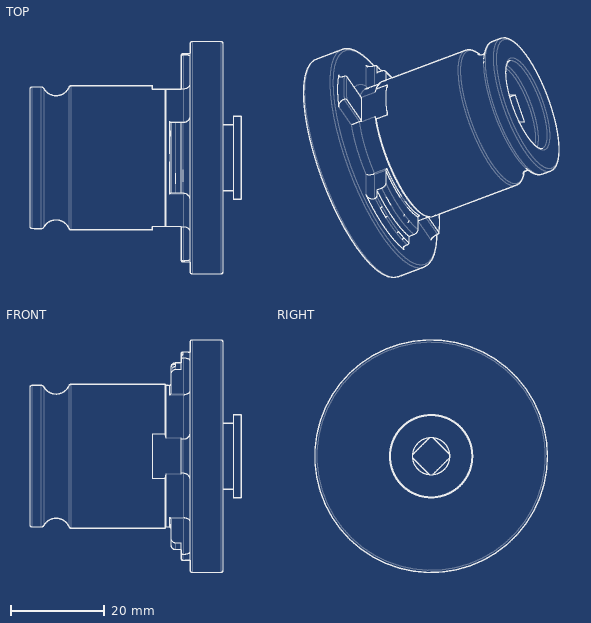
import cadquery as cq


overall_length = 45.5
body_end = 29.25
lug_face = 32.5
flange_front = 34.4
flange_back = 41.5
head_front = 43.7

lip_radius = 30.5 / 2
body_radius = 31 / 2
neck_radius = 30.5 / 2
flange_radius = 50 / 2
stem_radius = 14.2 / 2
head_radius = 17.9 / 2
flange_round = 0.5
head_chamfer = 0.2
lip_front_round = 0.5

groove_center = 5.65
groove_radius = 3.0
groove_floor_radius = 13.35
lip_rear_round = 0.65
body_front_round = 0.5

side_lug_width = 7.3
key_width = 15.2
lug_radius = 22.4
lug_edge_round = 0.4
key_front = 30.3
key_radius = 20.1
key_edge_round = 1.0
key_root_round = 0.3
root_round = 1.4
flat_distance = 14.75
flat_start = 26.3
flat_width = 9.5

recess_radius = 20.1 / 2
recess_depth = 3.0
recess_round = 0.45
square_side = 6.1
bore_radius = 8 / 2

tolerance = 0.01


def disc(start, end, radius):
    """Cylinder on the X axis between two stations."""
    return cq.Workplane("YZ").workplane(offset=start).circle(radius).extrude(end - start)


def bar(start, end, width, height):
    """Box centred on the X axis, width along Y and height along Z."""
    return cq.Workplane("YZ").workplane(offset=start).rect(width, height).extrude(end - start)


def ring(station, ring_radius, section_radius):
    """Torus around the X axis, centred on one station."""
    section = cq.Workplane("XY").center(station, ring_radius).circle(section_radius)
    return section.revolve(360, (0, -ring_radius, 0), (1, -ring_radius, 0))


def round_edges(part, stations, half_width, half_height, radius):
    """Round every edge that lies whole between two stations and within a half width and half height."""
    start, end = stations
    low_corner = (start - tolerance, -half_width - tolerance, -half_height - tolerance)
    high_corner = (end + tolerance, half_width + tolerance, half_height + tolerance)
    return part.edges(cq.selectors.BoxSelector(low_corner, high_corner, boundingbox=True)).fillet(radius)


def make_barrel():
    """Lip, grooved body and neck turned in one piece."""
    step = body_radius - neck_radius
    outline = (
        cq.Workplane("XY")
        .lineTo(0, lip_radius)
        .lineTo(groove_center, lip_radius)
        .lineTo(groove_center, body_radius)
        .lineTo(body_end - step, body_radius)
        .lineTo(body_end, neck_radius)
        .lineTo(flange_front, neck_radius)
        .lineTo(flange_front, 0)
        .close()
    )
    barrel = outline.revolve(360, (0, 0, 0), (1, 0, 0))
    barrel = barrel.cut(ring(groove_center, groove_floor_radius + groove_radius, groove_radius))

    groove_start = groove_center - groove_radius
    groove_end = groove_center + groove_radius
    barrel = round_edges(barrel, (0, 0), lip_radius, lip_radius, lip_front_round)
    barrel = round_edges(barrel, (groove_start, groove_center), lip_radius, lip_radius, lip_rear_round)
    return round_edges(barrel, (groove_center, groove_end), body_radius, body_radius, body_front_round)


def make_flange():
    """Flange with the stem and head behind it."""
    flange = disc(flange_front, flange_back, flange_radius).edges().fillet(flange_round)
    stem = disc(flange_back, head_front, stem_radius)
    head = disc(head_front, overall_length, head_radius).faces(">X").edges().chamfer(head_chamfer)
    return flange.union(stem).union(head)


def make_lug_steps():
    """Two low side lugs along Y, and two keys along Z that step up towards the neck."""
    low = disc(lug_face, flange_front, lug_radius).faces("<X").edges().fillet(lug_edge_round)
    high = disc(key_front, flange_front, key_radius).faces("<X").edges().fillet(key_edge_round)
    side_lugs = low.intersect(bar(lug_face, flange_front, 2 * lug_radius, side_lug_width))
    keys = low.union(high).intersect(bar(key_front, flange_front, key_width, 2 * lug_radius))
    return side_lugs.union(keys)


def make_root_rounds():
    """Concave rounds where the neck and the lug flanks meet the flange."""
    start = flange_front - root_round
    cove_radius = neck_radius + root_round
    rounds = disc(start, flange_front, cove_radius).cut(ring(start, cove_radius, root_round))
    for lug_width, turn in ((side_lug_width, 0), (key_width, 90)):
        outer_width = lug_width + 2 * root_round
        skirt = bar(start, flange_front, 2 * lug_radius, outer_width)
        for side in (-1, 1):
            scoop = (
                cq.Workplane("XZ", origin=(start, lug_radius, side * outer_width / 2))
                .circle(root_round)
                .extrude(2 * lug_radius)
            )
            skirt = skirt.cut(scoop)
        skirt = skirt.rotate((0, 0, 0), (1, 0, 0), turn)
        rounds = rounds.union(skirt.intersect(disc(start, flange_front, lug_radius)))
    return rounds


def cut_flats(part):
    """Flat on each Y side of the barrel, running up to the side lugs."""
    for side in (-1, 1):
        flat = cq.Workplane("XY").box(
            lug_face - flat_start, body_radius, flat_width, centered=(False, True, True)
        )
        part = part.cut(flat.translate((flat_start, side * (flat_distance + body_radius / 2), 0)))
    return part


def cut_recess(part):
    """Round front recess with a square drive hole that continues as a round bore."""
    recess = disc(0, recess_depth, recess_radius).faces(">X").edges().fillet(recess_round)
    square = bar(0, flange_front, square_side, square_side).rotate((0, 0, 0), (1, 0, 0), 45)
    bore = disc(flange_front, overall_length, bore_radius)
    part = part.cut(recess)
    part = round_edges(part, (0, 0), recess_radius, recess_radius, recess_round)
    return part.cut(square).cut(bore)


part = make_barrel().union(make_lug_steps())
part = round_edges(part, (key_front, flange_front), key_width / 2, neck_radius, key_root_round)
part = part.union(make_flange()).union(make_root_rounds())
part = cut_flats(part)
result = cut_recess(part)